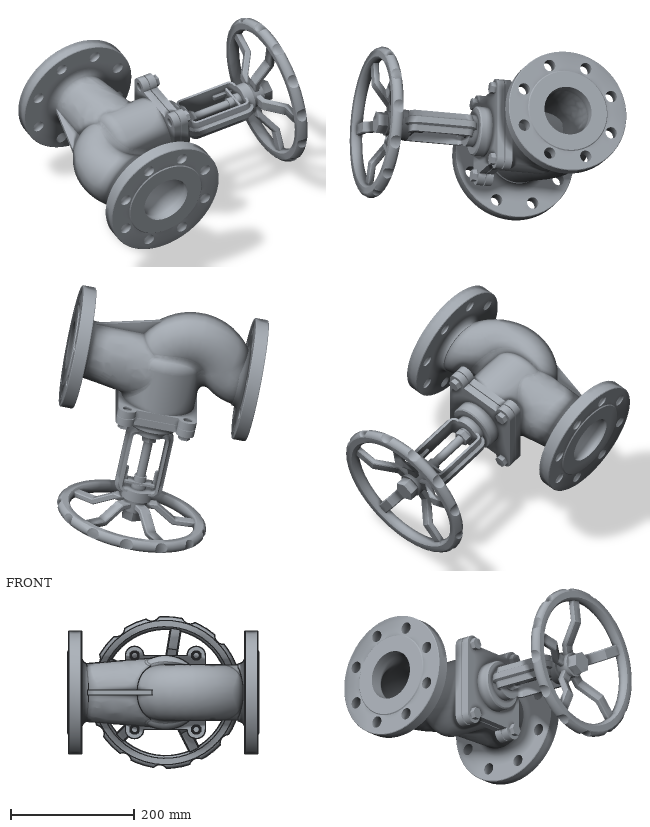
import cadquery as cq
import math


FACE_TO_FACE = 310.0
FLANGE_DIA = 200.0
RAISED_FACE_DIA = 132.0
RAISED_FACE_ROOT_DIA = 135.0
RAISED_FACE_HEIGHT = 1.5
FLANGE_BACK = 23.0
FLANGE_CHAMFER = 1.0
BOLT_CIRCLE_DIA = 160.0
FLANGE_HOLE_DIA = 19.0
FLANGE_HOLES = 8
BORE_DIA = 80.0
FLANGE_BACK_X = FACE_TO_FACE / 2 - FLANGE_BACK

STEM_X = 3.5
INLET_RADIUS = 46.5
FLARE = 11.0
INLET_END_RADIUS = 56.0
INLET_END_TO_STEM = 18.5
INLET_END_X = STEM_X - INLET_END_TO_STEM
INLET_END_Y = 10.0
THROAT_RADIUS = 33.0
THROAT_Y = 6.5
NECK_DIA = 120.0
NECK_BOTTOM_Y = -27.0
NECK_BOTTOM_ROUND = 20.0
NECK_FILLET = 10.0
CORE_DIA = 90.0

OUTLET_RADIUS = 45.0
LOWER_BEND_RADIUS = 57.0
LOWER_BEND_X = 45.0
LOWER_BEND_Y = 6.5
UPPER_BEND_RADIUS = 46.0
BEND_CENTRE_RISE = LOWER_BEND_Y + UPPER_BEND_RADIUS
UPPER_BEND_X = LOWER_BEND_X + math.sqrt(
    (LOWER_BEND_RADIUS + UPPER_BEND_RADIUS) ** 2 - BEND_CENTRE_RISE ** 2
)
BEND_ANGLE = math.degrees(math.atan2(UPPER_BEND_X - LOWER_BEND_X, BEND_CENTRE_RISE))
OUTLET_LEAD = 90.0
OUTLET_BORE_LEAD = 45.0

RIB_THICKNESS = 7.5
RIB_START = (-127.0, -45.5)
RIB_TIP = (-16.5, -74.0)

COVER_BOLT_X = 50.0
COVER_BOLT_Z = 60.0
LUG_RADIUS = 15.0
PLATE_THICKNESS = 12.0
BODY_PLATE_TOP = 77.0
JOINT_GAP = 1.5
JOINT_FACE_DIA = 110.0
BONNET_PLATE_BOTTOM = BODY_PLATE_TOP + JOINT_GAP
BONNET_PLATE_TOP = BONNET_PLATE_BOTTOM + PLATE_THICKNESS
COVER_HOLE_DIA = 15.0
BOLT_DIA = 12.0
BOLT_HEAD_ACROSS_CORNERS = 20.0
BOLT_HEAD_HEIGHT = 8.0
BOLT_END_RECESS = 3.0
BOLT_END_CHAMFER = 1.0

BONNET_DISC_DIA = 80.0
BONNET_DISC_TOP = 110.3
BONNET_DISC_CHAMFER = 2.0
YOKE_BASE_DIA = 52.0
YOKE_BASE_TOP = 124.0
YOKE_HEAD_DIA = 49.0
YOKE_HEAD_BOTTOM = 223.4
YOKE_HEAD_TOP = 240.0
ARM_INNER_X = 27.5
ARM_EDGE_THICKNESS = 4.0
ARM_ROOT_THICKNESS = 6.5
ARM_THICKNESS = 11.5
ARM_HALF_WIDTH = 17.5
ARM_RIB_ROOT_HALF = 7.5
ARM_RIB_TIP_HALF = 5.0
ARM_BEND_INNER_RADIUS = 6.0
ARM_EMBED = 6.0
EAR_INNER_X = 21.7
EAR_BOTTOM = 189.0
EAR_THICKNESS = 6.0

STEM_DIA = 15.0
COLLAR_DIA = 20.0
COLLAR_BOTTOM = 201.5
BUSH_DIA = 25.0
GUIDE_BOTTOM = 211.0
GUIDE_TOP = 214.5
GUIDE_LENGTH = 50.0
GUIDE_WIDTH = 22.0
GUIDE_SLOT_DEPTH = 5.5
GUIDE_SLOT_WIDTH = 8.0
GLAND_COLLAR_TOP = 127.0
GLAND_NUT_TOP = 138.0
GLAND_NUT_ACROSS_FLATS = 22.5
WHEEL_NUT_ACROSS_FLATS = 31.0
WHEEL_NUT_HEIGHT = 16.0

WHEEL_TOP = 284.17
RIM_THICKNESS = 18.0
RIM_OUTER_RADIUS = 123.15
RIM_INNER_RADIUS = 102.2
RIM_OUTER_BULGE = 6.2
RIM_INNER_BULGE = 4.5
GRIP_COUNT = 13
GRIP_START_ANGLE = 72.1
GRIP_DIA = 27.9
GRIP_BOTTOM_RADIUS = 117.7
HUB_DIA = 40.0
HUB_TOP = 260.8
SPOKE_COUNT = 5
SPOKE_START_ANGLE = 80.7
SPOKE_WIDTH = 18.0
SPOKE_THICKNESS = 9.0
SPOKE_CHAMFER = 1.5
SPOKE_INNER_Y = 245.6
SPOKE_OUTER_Y = 268.8
SPOKE_INNER_BEND = 36.4
SPOKE_OUTER_BEND = 71.0
SPOKE_BEND_SHIFT = 4.0


def plane_at(y, x=STEM_X):
    """Workplane across the stem direction: local x is X, local y is Z, normal is -Y."""
    return cq.Workplane("XZ", origin=(x, y, 0))


def disc(dia, bottom, top):
    return plane_at(bottom).circle(dia / 2).extrude(bottom - top)


def hexagon(across_flats, bottom, top):
    """Hexagonal prism on the stem axis with two flats square to X."""
    across_corners = across_flats / math.cos(math.pi / 6)
    prism = plane_at(bottom).polygon(6, across_corners).extrude(bottom - top)
    return prism.rotate((STEM_X, 0, 0), (STEM_X, 1, 0), 90)


def bolt_points():
    return [(sx * COVER_BOLT_X, sz * COVER_BOLT_Z) for sx in (-1, 1) for sz in (-1, 1)]


def cover_plate(bottom):
    """Rectangular plate with a round lug at each corner bolt."""
    top = bottom + PLATE_THICKNESS
    plate = plane_at(bottom).rect(2 * (COVER_BOLT_X + LUG_RADIUS), 2 * COVER_BOLT_Z).extrude(bottom - top)
    lugs = plane_at(bottom).pushPoints(bolt_points()).circle(LUG_RADIUS).extrude(bottom - top)
    return plate.union(lugs)


def cover_holes(bottom, top):
    return plane_at(bottom).pushPoints(bolt_points()).circle(COVER_HOLE_DIA / 2).extrude(bottom - top)


def inlet_flange():
    """Flange with its raised face and the flare down to the pipe, turned about X."""
    face = -FACE_TO_FACE / 2
    front = face + RAISED_FACE_HEIGHT
    rim = FLANGE_DIA / 2
    profile = (
        cq.Workplane("XY")
        .moveTo(face, 0)
        .lineTo(face, RAISED_FACE_DIA / 2)
        .lineTo(front, RAISED_FACE_ROOT_DIA / 2)
        .lineTo(front, rim - FLANGE_CHAMFER)
        .lineTo(front + FLANGE_CHAMFER, rim)
        .lineTo(-FLANGE_BACK_X - FLANGE_CHAMFER, rim)
        .lineTo(-FLANGE_BACK_X, rim - FLANGE_CHAMFER)
        .lineTo(-FLANGE_BACK_X, INLET_RADIUS + FLARE)
        .radiusArc((-FLANGE_BACK_X + FLARE, INLET_RADIUS), -FLARE)
        .lineTo(-FLANGE_BACK_X + FLARE, 0)
        .close()
    )
    flange = profile.revolve(360, (0, 0, 0), (1, 0, 0))
    holes = (
        cq.Workplane("YZ", origin=(face, 0, 0))
        .polarArray(BOLT_CIRCLE_DIA / 2, 180 / FLANGE_HOLES, 360, FLANGE_HOLES)
        .circle(FLANGE_HOLE_DIA / 2)
        .extrude(FLANGE_BACK)
    )
    return flange.cut(holes)


def tapered_pipe(start_x, start_radius, end_radius, end_y):
    return (
        cq.Workplane("YZ", origin=(start_x, 0, 0))
        .circle(start_radius)
        .workplane(offset=INLET_END_X - start_x)
        .center(end_y, 0)
        .circle(end_radius)
        .loft(ruled=True)
    )


def s_bend(radius, lead):
    """Round bar along the outlet S-bend, starting `lead` degrees before the lowest point."""
    lower = (
        cq.Workplane("YZ", origin=(LOWER_BEND_X, LOWER_BEND_Y - LOWER_BEND_RADIUS, 0))
        .circle(radius)
        .revolve(lead + BEND_ANGLE, (LOWER_BEND_RADIUS, 0, 0), (LOWER_BEND_RADIUS, 1, 0))
    )
    centre = (LOWER_BEND_X, LOWER_BEND_Y, 0)
    lower = lower.rotate(centre, (LOWER_BEND_X, LOWER_BEND_Y, 1), -lead)
    upper = (
        cq.Workplane("YZ", origin=(UPPER_BEND_X, 0, 0))
        .circle(radius)
        .revolve(BEND_ANGLE, (-UPPER_BEND_RADIUS, 0, 0), (-UPPER_BEND_RADIUS, 1, 0))
    )
    return lower.union(upper)


def rib():
    outline = [RIB_START, RIB_TIP, (RIB_TIP[0], 0), (RIB_START[0], 0)]
    return cq.Workplane("XY").polyline(outline).close().extrude(RIB_THICKNESS / 2, both=True)


def make_body():
    neck = disc(NECK_DIA, NECK_BOTTOM_Y, BODY_PLATE_TOP).faces("<Y").edges().fillet(NECK_BOTTOM_ROUND)
    pipe = tapered_pipe(-FLANGE_BACK_X, INLET_RADIUS, INLET_END_RADIUS, INLET_END_Y)
    shell = neck.union(pipe).union(s_bend(OUTLET_RADIUS, OUTLET_LEAD))

    half_box = NECK_DIA / 2 + NECK_FILLET
    around_neck = cq.selectors.BoxSelector(
        (STEM_X - half_box, -INLET_RADIUS + NECK_FILLET, -half_box),
        (STEM_X + half_box, BODY_PLATE_TOP - PLATE_THICKNESS, half_box),
    )
    shell = shell.edges("%BSPLINE").edges(around_neck).fillet(NECK_FILLET)

    flange = inlet_flange()
    body = shell.union(flange).union(flange.mirror("YZ")).union(rib())
    body = body.union(cover_plate(BODY_PLATE_TOP - PLATE_THICKNESS))

    core = disc(CORE_DIA, NECK_BOTTOM_Y, BODY_PLATE_TOP)
    inlet_passage = tapered_pipe(-FLANGE_BACK_X, BORE_DIA / 2, THROAT_RADIUS, THROAT_Y)
    body = body.cut(inlet_passage.cut(core))
    body = body.cut(s_bend(BORE_DIA / 2, OUTLET_BORE_LEAD))
    for port_x in (-FACE_TO_FACE / 2, FLANGE_BACK_X):
        bore = cq.Workplane("YZ", origin=(port_x, 0, 0)).circle(BORE_DIA / 2).extrude(FLANGE_BACK)
        body = body.cut(bore)
    return body.cut(cover_holes(BODY_PLATE_TOP - PLATE_THICKNESS, BODY_PLATE_TOP))


def arm_section(plane):
    """Drafted T section; local x runs outward from the arm's inner face, local y along Z."""
    half = [
        (0, ARM_HALF_WIDTH),
        (ARM_EDGE_THICKNESS, ARM_HALF_WIDTH),
        (ARM_ROOT_THICKNESS, ARM_RIB_ROOT_HALF),
        (ARM_THICKNESS, ARM_RIB_TIP_HALF),
    ]
    return plane.polyline(half + [(x, -z) for x, z in reversed(half)]).close()


def yoke_arm():
    """Arm on the +X side: a straight bar, bent inward at both ends."""
    inner_x = STEM_X + ARM_INNER_X
    low = YOKE_BASE_TOP + ARM_BEND_INNER_RADIUS
    high = YOKE_HEAD_BOTTOM - ARM_BEND_INNER_RADIUS
    axis_x = -ARM_BEND_INNER_RADIUS
    arm = arm_section(plane_at(low, inner_x)).extrude(low - high)
    for bend_y, turn in ((low, -1), (high, 1)):
        bend = arm_section(plane_at(bend_y, inner_x)).revolve(90, (axis_x, 0, 0), (axis_x, turn, 0))
        arm = arm.union(bend)
    for end_y, outward in ((YOKE_BASE_TOP, -1), (YOKE_HEAD_BOTTOM, 1)):
        end_plane = cq.Plane(
            origin=(inner_x - ARM_BEND_INNER_RADIUS, end_y, 0),
            xDir=(0, outward, 0),
            normal=(-1, 0, 0),
        )
        arm = arm.union(arm_section(cq.Workplane(end_plane)).extrude(ARM_EMBED))
    return arm.union(guide_ear())


def guide_ear():
    """Rail on the inside of an arm that keeps the stem guide from turning."""
    width = ARM_INNER_X - EAR_INNER_X
    height = YOKE_HEAD_BOTTOM - EAR_BOTTOM
    ear = (
        cq.Workplane("XY", origin=(STEM_X + EAR_INNER_X, EAR_BOTTOM, 0))
        .rect(width, height, centered=False)
        .extrude(EAR_THICKNESS / 2, both=True)
    )
    return ear.edges("|Z").edges("<Y").edges("<X").fillet(width / 2)


def stem():
    """Stem with gland, turning guide, bush and the nut that holds the handwheel."""
    rod = disc(STEM_DIA, YOKE_BASE_TOP, COLLAR_BOTTOM)
    rod = rod.union(disc(COLLAR_DIA, COLLAR_BOTTOM, HUB_TOP))
    rod = rod.union(disc(BUSH_DIA, GUIDE_TOP, YOKE_HEAD_BOTTOM))
    rod = rod.union(disc(BUSH_DIA, YOKE_BASE_TOP, GLAND_COLLAR_TOP))
    rod = rod.union(hexagon(GLAND_NUT_ACROSS_FLATS, GLAND_COLLAR_TOP, GLAND_NUT_TOP))
    rod = rod.union(hexagon(WHEEL_NUT_ACROSS_FLATS, HUB_TOP, HUB_TOP + WHEEL_NUT_HEIGHT))

    guide = plane_at(GUIDE_BOTTOM).rect(GUIDE_LENGTH, GUIDE_WIDTH).extrude(GUIDE_BOTTOM - GUIDE_TOP)
    slots = (
        plane_at(GUIDE_BOTTOM)
        .pushPoints([(side * (GUIDE_LENGTH - GUIDE_SLOT_DEPTH) / 2, 0) for side in (-1, 1)])
        .rect(GUIDE_SLOT_DEPTH, GUIDE_SLOT_WIDTH)
        .extrude(GUIDE_BOTTOM - GUIDE_TOP)
    )
    return rod.union(guide.cut(slots))


def make_bonnet():
    bonnet = cover_plate(BONNET_PLATE_BOTTOM)
    bonnet = bonnet.union(disc(JOINT_FACE_DIA, BODY_PLATE_TOP, BONNET_PLATE_BOTTOM))
    bonnet = bonnet.cut(cover_holes(BODY_PLATE_TOP, BONNET_PLATE_TOP))
    cap = disc(BONNET_DISC_DIA, BONNET_PLATE_TOP, BONNET_DISC_TOP)
    bonnet = bonnet.union(cap.faces(">Y").edges().chamfer(BONNET_DISC_CHAMFER))
    bonnet = bonnet.union(disc(YOKE_BASE_DIA, BONNET_DISC_TOP, YOKE_BASE_TOP))
    bonnet = bonnet.union(disc(YOKE_HEAD_DIA, YOKE_HEAD_BOTTOM, YOKE_HEAD_TOP))
    arm = yoke_arm()
    bonnet = bonnet.union(arm).union(arm.mirror("YZ", (STEM_X, 0, 0)))
    return bonnet.union(stem())


def make_bolt(x, z):
    end = BODY_PLATE_TOP - PLATE_THICKNESS + BOLT_END_RECESS
    shank = cq.Workplane("XZ", origin=(x, end, z)).circle(BOLT_DIA / 2).extrude(end - BONNET_PLATE_TOP)
    shank = shank.faces("<Y").chamfer(BOLT_END_CHAMFER)
    head = (
        cq.Workplane("XZ", origin=(x, BONNET_PLATE_TOP, z))
        .polygon(6, BOLT_HEAD_ACROSS_CORNERS)
        .extrude(-BOLT_HEAD_HEIGHT)
    )
    return shank.union(head)


def wheel_rim():
    bottom = WHEEL_TOP - RIM_THICKNESS
    middle = WHEEL_TOP - RIM_THICKNESS / 2
    outer_edge = RIM_OUTER_RADIUS - RIM_OUTER_BULGE
    inner_edge = RIM_INNER_RADIUS + RIM_INNER_BULGE
    profile = (
        cq.Workplane("XY", origin=(STEM_X, 0, 0))
        .moveTo(inner_edge, bottom)
        .lineTo(outer_edge, bottom)
        .threePointArc((RIM_OUTER_RADIUS, middle), (outer_edge, WHEEL_TOP))
        .lineTo(inner_edge, WHEEL_TOP)
        .threePointArc((RIM_INNER_RADIUS, middle), (inner_edge, bottom))
        .close()
    )
    ring = profile.revolve(360, (0, 0, 0), (0, 1, 0))
    grips = (
        plane_at(bottom)
        .polarArray(GRIP_BOTTOM_RADIUS + GRIP_DIA / 2, GRIP_START_ANGLE, 360, GRIP_COUNT)
        .circle(GRIP_DIA / 2)
        .extrude(-RIM_THICKNESS)
    )
    return ring.cut(grips)


def spoke(angle):
    """Cranked spoke from the hub up to the rim, at `angle` degrees from X towards Z."""
    end = RIM_INNER_RADIUS + RIM_INNER_BULGE
    upper_inner_bend = SPOKE_INNER_BEND - SPOKE_BEND_SHIFT
    upper_outer_bend = SPOKE_OUTER_BEND - SPOKE_BEND_SHIFT
    outline = [
        (COLLAR_DIA / 2, SPOKE_INNER_Y),
        (SPOKE_INNER_BEND, SPOKE_INNER_Y),
        (SPOKE_OUTER_BEND, SPOKE_OUTER_Y),
        (end, SPOKE_OUTER_Y),
        (end, SPOKE_OUTER_Y + SPOKE_THICKNESS),
        (upper_outer_bend, SPOKE_OUTER_Y + SPOKE_THICKNESS),
        (upper_inner_bend, SPOKE_INNER_Y + SPOKE_THICKNESS),
        (COLLAR_DIA / 2, SPOKE_INNER_Y + SPOKE_THICKNESS),
    ]
    bar = cq.Workplane("XY", origin=(STEM_X, 0, 0)).polyline(outline).close()
    bar = bar.extrude(SPOKE_WIDTH / 2, both=True).faces("|Z").edges().chamfer(SPOKE_CHAMFER)
    return bar.rotate((STEM_X, 0, 0), (STEM_X, 1, 0), -angle)


def make_handwheel():
    wheel = wheel_rim().union(disc(HUB_DIA, YOKE_HEAD_TOP, HUB_TOP))
    for index in range(SPOKE_COUNT):
        wheel = wheel.union(spoke(SPOKE_START_ANGLE + index * 360 / SPOKE_COUNT))
    return wheel.cut(disc(COLLAR_DIA, YOKE_HEAD_TOP, HUB_TOP))


body = make_body()
bonnet = make_bonnet()
handwheel = make_handwheel()
bolts = [make_bolt(STEM_X + x, z) for x, z in bolt_points()]

result = cq.Compound.makeCompound(
    [body.val(), bonnet.val(), handwheel.val(), *[bolt.val() for bolt in bolts]]
)